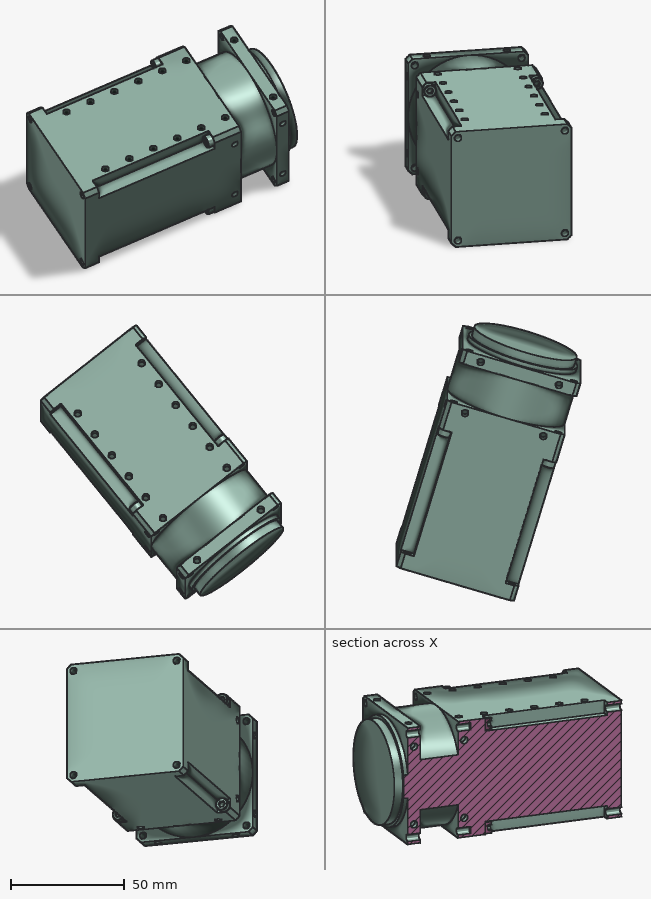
import cadquery as cq

LENGTH = 108.0
WIDTH = 54.0
CORNER_CHAMFER = 1.9

PILOT_DIAMETER = 47.1
PILOT_LENGTH = 4.0
SHOULDER_DIAMETER = 49.9
SHOULDER_LENGTH = 2.0
FLANGE_THICKNESS = 6.0
TUBE_LENGTH = 17.9

COLLAR_LENGTH = 7.0
END_PLATE_THICKNESS = 6.9
NOTCH_SIZE = 5.9

HOLE_DIAMETER = 3.0
SIDE_HOLE_DEPTH = 5.4
SIDE_HOLE_SPACING = 36.0
TOP_HOLE_ROWS = 5
TOP_HOLE_PITCH = 12.0
TOP_HOLE_SETBACK = 9.0
CORNER_HOLE_SPACING = 48.0

HEAD_DIAMETER = 5.5
HEAD_LENGTH = 3.0
HEAD_CHAMFER = 0.2
SOCKET_ACROSS_CORNERS = 2.9
SOCKET_DEPTH = 1.3
SOCKET_TIP_DEPTH = 0.8

OUTPUT_END = LENGTH / 2
SHOULDER_FRONT = OUTPUT_END - PILOT_LENGTH
OUTPUT_FLANGE_FRONT = SHOULDER_FRONT - SHOULDER_LENGTH
TUBE_FRONT = OUTPUT_FLANGE_FRONT - FLANGE_THICKNESS
INPUT_FLANGE_FRONT = TUBE_FRONT - TUBE_LENGTH
JOINT = INPUT_FLANGE_FRONT - FLANGE_THICKNESS
SCREW_SEAT = JOINT - COLLAR_LENGTH
MOTOR_END = -LENGTH / 2
END_PLATE_FRONT = MOTOR_END + END_PLATE_THICKNESS

CORNERS = [(sx * CORNER_HOLE_SPACING / 2, sz * CORNER_HOLE_SPACING / 2) for sx in (-1, 1) for sz in (-1, 1)]


def section_at(y):
    """Work plane across the axis at station y, extruding toward -Y, with local X and Y along X and Z."""
    return cq.Workplane("XZ", origin=(0, y, 0))


def disc(front, diameter, length):
    return section_at(front).circle(diameter / 2).extrude(length)


def square_block(front, length):
    block = section_at(front).rect(WIDTH, WIDTH).extrude(length)
    return block.edges("|Y").chamfer(CORNER_CHAMFER)


def corner_holes(front, length):
    return section_at(front).pushPoints(CORNERS).circle(HOLE_DIAMETER / 2).extrude(length)


def top_hole_pair(y):
    """Two blind holes going down from the top face at station y."""
    top_face = cq.Workplane("XY", origin=(0, y, WIDTH / 2))
    places = [(-SIDE_HOLE_SPACING / 2, 0), (SIDE_HOLE_SPACING / 2, 0)]
    return top_face.pushPoints(places).circle(HOLE_DIAMETER / 2).extrude(-SIDE_HOLE_DEPTH)


def make_flange(front):
    """Square flange with four corner through holes and a pair of blind holes in every side."""
    flange = square_block(front, FLANGE_THICKNESS)
    flange = flange.cut(corner_holes(front, FLANGE_THICKNESS))
    hole_pair = top_hole_pair(front - FLANGE_THICKNESS / 2)
    for angle in (0, 90, 180, 270):
        flange = flange.cut(hole_pair.rotate((0, 0, 0), (0, 1, 0), angle))
    return flange


def make_gearbox():
    pilot = disc(OUTPUT_END, PILOT_DIAMETER, PILOT_LENGTH)
    shoulder = disc(SHOULDER_FRONT, SHOULDER_DIAMETER, SHOULDER_LENGTH)
    tube = disc(TUBE_FRONT, WIDTH, TUBE_LENGTH)
    gearbox = make_flange(OUTPUT_FLANGE_FRONT).union(shoulder).union(pilot)
    return gearbox.union(tube).union(make_flange(INPUT_FLANGE_FRONT))


def make_motor():
    motor = square_block(JOINT, JOINT - MOTOR_END)

    notch_spacing = WIDTH - NOTCH_SIZE
    notches = (
        section_at(SCREW_SEAT)
        .rect(notch_spacing, notch_spacing, forConstruction=True)
        .vertices()
        .rect(NOTCH_SIZE, NOTCH_SIZE)
        .extrude(SCREW_SEAT - END_PLATE_FRONT)
    )
    motor = motor.cut(notches)

    motor = motor.cut(corner_holes(END_PLATE_FRONT, END_PLATE_THICKNESS))

    for row in range(TOP_HOLE_ROWS):
        motor = motor.cut(top_hole_pair(JOINT - TOP_HOLE_SETBACK - row * TOP_HOLE_PITCH))
    return motor


def make_housing():
    """Gearbox and motor as one solid; the edge loop at their joint is kept."""
    return make_gearbox().union(make_motor(), clean=False)


def hexagon_prism(front, length):
    return section_at(front).polygon(6, SOCKET_ACROSS_CORNERS).extrude(length)


def make_screw(x, z):
    """Cap screw head on its seat, with a hexagon socket that ends in a cone."""
    head = disc(SCREW_SEAT, HEAD_DIAMETER, HEAD_LENGTH).faces("<Y").chamfer(HEAD_CHAMFER)
    socket_bottom = SCREW_SEAT - HEAD_LENGTH + SOCKET_DEPTH
    socket = hexagon_prism(socket_bottom, SOCKET_DEPTH)

    cone = cq.Solid.makeCone(
        SOCKET_ACROSS_CORNERS / 2,
        0,
        SOCKET_TIP_DEPTH,
        pnt=cq.Vector(0, socket_bottom, 0),
        dir=cq.Vector(0, 1, 0),
    )
    tip = hexagon_prism(socket_bottom + SOCKET_TIP_DEPTH, SOCKET_TIP_DEPTH).intersect(cq.Workplane(cone))
    return head.cut(socket).cut(tip).translate((x, 0, z))


housing = make_housing()
screws = [make_screw(x, z) for x, z in CORNERS]

result = cq.Compound.makeCompound([housing.val(), *[screw.val() for screw in screws]])